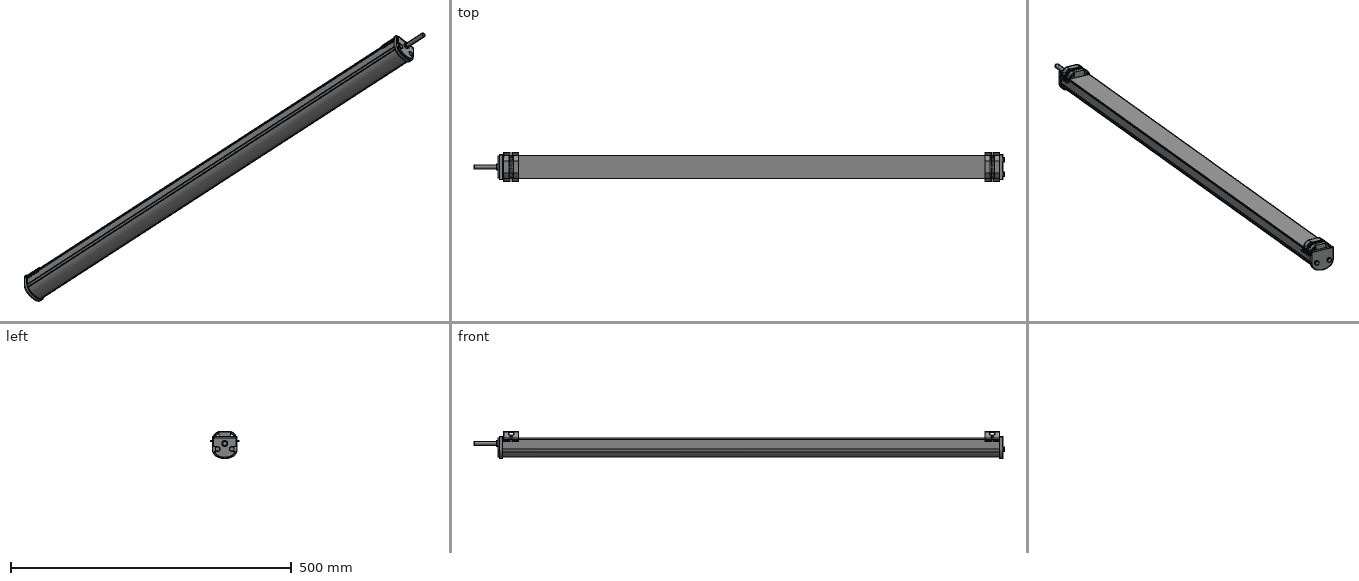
import cadquery as cq

total_length = 945.0
total_height = 48.0
bottom_z = -total_height / 2
top_z = total_height / 2
clip_height = 11.0

body_start = 51.0
body_end = 937.0
body_half_width = 21.0
body_top = top_z - clip_height
lip_height = 3.0
side_wall_bottom = -7.1
side_wall_depth = 1.0
arch_corner_z = -14.0
arch_corner_radius = 16.0
body_strip_height = 6.0
cover_top = side_wall_bottom - body_strip_height
cover_inset = 1.0

cap_thickness = 6.0
cap_rim = 1.4
cap_half_width = body_half_width + cap_rim
cap_top = 15.0
cover_plate_thickness = 3.0
cover_plate_inset = 2.4

screw_diameter = 8.0
screw_spacing = 25.5
screw_z = -7.1
screw_head_height = total_length - body_end - cap_thickness
screw_pocket_height = 8.5

cable_diameter = 8.0
cable_z = 3.0
grommet_diameter = 10.0
grommet_length = 3.0

clip_length = 26.0
clip_gap = 2.0
clip_half_width = 25.5
clip_wall = 3.0
clip_lip_bottom = 7.0
clip_lip_top = 8.0
clip_side = 22.0
clip_arch_y = 18.0
clip_arch_z = 19.0
clip_block_half_width = 10.0
clip_base_half_width = 18.0
clip_slit_width = 3.3
clip_bridge_width = 4.0
clip_tunnel_width = 8.5
clip_tunnel_bottom = 18.0
clip_tunnel_top = 23.0


def box_between(x_range, y_range, z_range):
    size = [high - low for low, high in (x_range, y_range, z_range)]
    corner = (x_range[0], y_range[0], z_range[0])
    return cq.Workplane("XY").box(*size, centered=False).translate(corner)


def arched_bar(start_x, length, half_width, top):
    """Bar with a flat top and upright sides rounded into an arched underside."""
    bar_bottom = bottom_z + cap_half_width - half_width
    return (
        cq.Workplane("YZ", origin=(start_x, 0, 0))
        .moveTo(-half_width, arch_corner_z)
        .lineTo(-half_width, top)
        .lineTo(half_width, top)
        .lineTo(half_width, arch_corner_z)
        .threePointArc((0, bar_bottom), (-half_width, arch_corner_z))
        .close()
        .extrude(length)
        .edges("|X")
        .edges("<Z")
        .fillet(arch_corner_radius)
    )


def make_extrusion():
    """Long profile with lips, recessed side walls and a stepped-in light cover."""
    length = body_end - body_start
    span = (body_start, body_end)
    upper_region = box_between(
        span, (-body_half_width, body_half_width), (cover_top, body_top)
    )
    cover = arched_bar(body_start, length, body_half_width - cover_inset, body_top)
    upper = arched_bar(body_start, length, body_half_width, body_top).intersect(upper_region)
    side_recess = box_between(
        span,
        (body_half_width - side_wall_depth, body_half_width),
        (side_wall_bottom, body_top - lip_height),
    )
    return upper.union(cover).cut(side_recess).cut(side_recess.mirror("XZ"))


def make_cap(start_x):
    return arched_bar(start_x, cap_thickness, cap_half_width, cap_top)


def make_screw_heads(base_x, height):
    """Pair of screw heads standing in +X from a base plane."""
    return (
        cq.Workplane("YZ", origin=(base_x, 0, screw_z))
        .pushPoints([(-screw_spacing / 2, 0), (screw_spacing / 2, 0)])
        .circle(screw_diameter / 2)
        .extrude(height)
    )


def make_cover_plate(start_x):
    """Smaller plate on the cable end, with a side-open pocket around each screw."""
    plate = arched_bar(
        start_x,
        cover_plate_thickness,
        cap_half_width - cover_plate_inset,
        cap_top - cover_plate_inset,
    )
    pocket_radius = screw_pocket_height / 2
    pocket_round = (
        cq.Workplane("YZ", origin=(start_x, screw_spacing / 2, screw_z))
        .circle(pocket_radius)
        .extrude(cover_plate_thickness)
    )
    pocket = pocket_round.union(
        box_between(
            (start_x, start_x + cover_plate_thickness),
            (screw_spacing / 2, cap_half_width),
            (screw_z - pocket_radius, screw_z + pocket_radius),
        )
    )
    heads = make_screw_heads(start_x, cover_plate_thickness)
    return plate.cut(pocket).cut(pocket.mirror("XZ")).union(heads)


def make_cable(end_x):
    """Cable entering the lamp through a short grommet."""
    cable = (
        cq.Workplane("YZ", origin=(0, 0, cable_z)).circle(cable_diameter / 2).extrude(end_x)
    )
    grommet = (
        cq.Workplane("YZ", origin=(end_x - grommet_length, 0, cable_z))
        .circle(grommet_diameter / 2)
        .extrude(grommet_length)
    )
    return cable.union(grommet)


def make_lamp():
    """Extrusion with both end caps, the cable and the cap screws as one body."""
    cable_cap_x = body_start - cap_thickness
    cover_plate_x = cable_cap_x - cover_plate_thickness
    return (
        make_extrusion()
        .union(make_cap(cable_cap_x))
        .union(make_cap(body_end))
        .union(make_cover_plate(cover_plate_x))
        .union(make_cable(cover_plate_x))
        .union(make_screw_heads(body_end + cap_thickness, screw_head_height))
    )


def make_wing(start_x):
    """Arched spring wing on the +Y side, ending in a flat outward lip."""
    return (
        cq.Workplane("YZ", origin=(start_x, 0, 0))
        .moveTo(0, top_z)
        .lineTo(clip_block_half_width, top_z)
        .threePointArc((clip_arch_y, clip_arch_z), (clip_side, clip_lip_top))
        .lineTo(clip_half_width, clip_lip_top)
        .lineTo(clip_half_width, clip_lip_bottom)
        .lineTo(body_half_width, clip_lip_bottom)
        .lineTo(body_half_width, body_top)
        .threePointArc(
            (clip_arch_y - clip_wall, clip_arch_z - clip_wall / 2),
            (clip_block_half_width, top_z - clip_wall),
        )
        .lineTo(0, top_z - clip_wall)
        .close()
        .extrude(clip_length)
    )


def make_clip(start_x):
    """Saddle clip: a base on the lamp and a raised block with two split wings."""
    span = (start_x, start_x + clip_length)
    middle_x = start_x + clip_length / 2
    slit_span = (middle_x - clip_slit_width / 2, middle_x + clip_slit_width / 2)
    tunnel_span = (middle_x - clip_tunnel_width / 2, middle_x + clip_tunnel_width / 2)

    block = box_between(span, (-clip_block_half_width, clip_block_half_width), (body_top, top_z))
    base = box_between(
        span, (-clip_base_half_width, clip_base_half_width), (body_top, body_top + clip_wall)
    )
    wing = make_wing(start_x)
    saddle = block.union(base).union(wing).union(wing.mirror("XZ"))

    block_slit = box_between(
        slit_span, (clip_bridge_width / 2, clip_block_half_width), (clip_tunnel_bottom, top_z)
    )
    wing_slit = box_between(
        slit_span, (clip_block_half_width, clip_half_width), (clip_lip_bottom, top_z)
    )
    base_strip = box_between(
        slit_span, (clip_block_half_width, clip_base_half_width), (body_top, body_top + clip_wall)
    )
    tunnel = box_between(
        tunnel_span, (0, clip_half_width), (clip_tunnel_bottom, clip_tunnel_top)
    )
    opening = block_slit.union(wing_slit.cut(base_strip)).union(tunnel)
    return saddle.cut(opening).cut(opening.mirror("XZ"))


lamp = make_lamp()
clip_starts = (body_start + clip_gap, body_end - clip_length)
clips = [make_clip(start_x) for start_x in clip_starts]

result = cq.Compound.makeCompound([lamp.val(), *[clip.val() for clip in clips]])